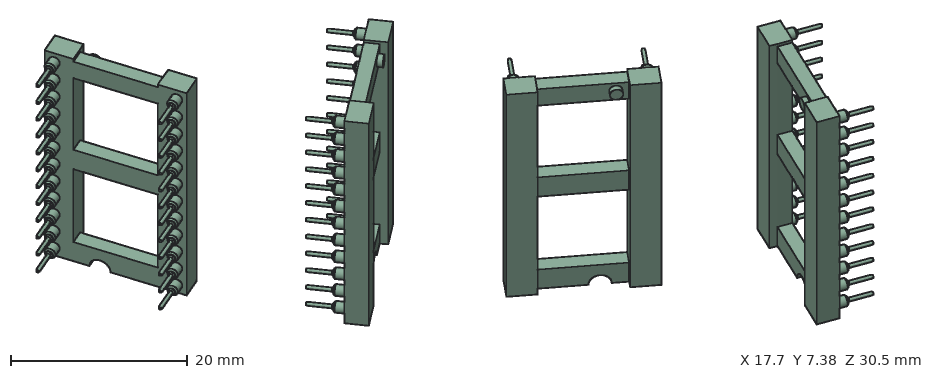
import cadquery as cq

frame_width = 17.7
frame_length = 30.5
rail_width = 3.6
rail_depth = 2.8
rail_draft = 0.03
bar_depth = 1.83
opening_width = frame_width - 2 * rail_width

end_bar_inner_z = 12.35
top_bar_recess = 0.4
middle_bar_width = 2.93
middle_bar_center_z = 0.1

notch_radius = 1.3
notch_x = -1.95

peg_diameter = 1.52
peg_height = 0.7
peg_x = -3.75
peg_z = 13.72

pins_per_row = 12
row_length = 27.95
pin_pitch = row_length / (pins_per_row - 1)
row_spacing = 15.25
collar_diameter = 1.37
collar_length = 1.2
shoulder_radius = 0.5
shoulder_end = 1.4
cone_radius = 0.4
cone_end = 1.6
pin_radius = 0.25
pin_length = 4.58
tip_length = 0.3
tip_radius = 0.18


def block(x_min, x_max, depth, z_min, z_max):
    """Box standing on the pin-side face (y = 0) and reaching back by depth."""
    box = cq.Workplane("XY").box(x_max - x_min, depth, z_max - z_min, centered=False)
    return box.translate((x_min, 0, z_min))


def make_rail():
    """Rail on the +X side; its inner wall leans slightly above the cross bars."""
    inner_x = opening_width / 2
    outer_x = frame_width / 2
    profile = [
        (inner_x, 0),
        (outer_x, 0),
        (outer_x, rail_depth),
        (inner_x + rail_draft, rail_depth),
        (inner_x, bar_depth),
    ]
    return cq.Workplane("XY").polyline(profile).close().extrude(frame_length / 2, both=True)


def make_frame():
    """Two rails joined by three cross bars."""
    half_length = frame_length / 2
    half_opening = opening_width / 2
    frame = block(-half_opening, half_opening, bar_depth, -half_length, half_length - top_bar_recess)
    middle_bottom = middle_bar_center_z - middle_bar_width / 2
    middle_top = middle_bar_center_z + middle_bar_width / 2
    for z_min, z_max in ((-end_bar_inner_z, middle_bottom), (middle_top, end_bar_inner_z)):
        frame = frame.cut(block(-half_opening, half_opening, bar_depth, z_min, z_max))
    rail = make_rail()
    return frame.union(rail).union(rail.mirror("YZ"))


def cylinder_along_y(radius, y_start, length, x, z):
    """Cylinder that starts at y_start and runs toward +Y."""
    plane = cq.Plane(origin=(x, y_start, z), xDir=(1, 0, 0), normal=(0, 1, 0))
    return cq.Workplane(plane).circle(radius).extrude(length)


def make_pin():
    """Stepped pin turned about the Y axis, starting at y = 0 and pointing toward -Y."""
    profile = (
        cq.Workplane("XY")
        .lineTo(collar_diameter / 2, 0)
        .lineTo(collar_diameter / 2, -collar_length)
        .lineTo(shoulder_radius, -shoulder_end)
        .lineTo(cone_radius, -shoulder_end)
        .lineTo(pin_radius, -cone_end)
        .lineTo(pin_radius, tip_length - pin_length)
        .tangentArcPoint((tip_radius, -pin_length), relative=False)
        .lineTo(0, -pin_length)
        .close()
    )
    return profile.revolve(360, (0, 0, 0), (0, 1, 0))


notch = cylinder_along_y(notch_radius, 0, bar_depth, notch_x, -frame_length / 2)
peg = cylinder_along_y(peg_diameter / 2, bar_depth, peg_height, peg_x, peg_z)
result = make_frame().cut(notch).union(peg)

pin = make_pin()
first_pin_z = -row_length / 2
for pin_x in (-row_spacing / 2, row_spacing / 2):
    for index in range(pins_per_row):
        result = result.union(pin.translate((pin_x, 0, first_pin_z + index * pin_pitch)))